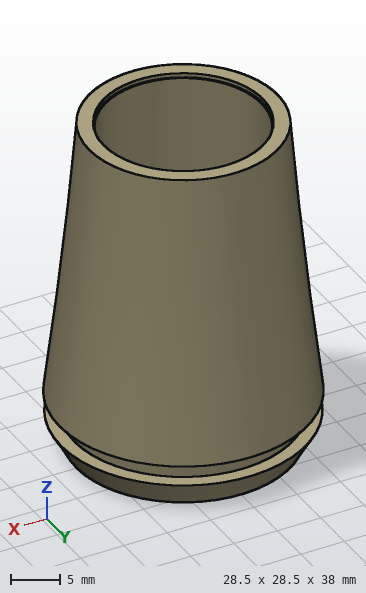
import cadquery as cq

height = 38.0
rim_height = 3.23
groove_width = 2.35
body_base = rim_height + groove_width

body_base_radius = 14.25
body_mid_radius = 12.35
body_top_radius = 10.85
groove_radius = 12.55
rim_radius = 14.15
rim_base_radius = 12.3

bore_radius = 9.0
mouth_radius = 9.15
mouth_depth = 0.5


def make_outer_body():
    """Revolve the tapered rim, the groove and the concave flared body."""
    body_mid = (body_base + height) / 2
    profile = (
        cq.Workplane("XZ")
        .moveTo(0, 0)
        .lineTo(rim_base_radius, 0)
        .lineTo(rim_radius, rim_height)
        .lineTo(groove_radius, rim_height)
        .lineTo(groove_radius, body_base)
        .lineTo(body_base_radius, body_base)
        .threePointArc((body_mid_radius, body_mid), (body_top_radius, height))
        .lineTo(0, height)
        .close()
    )
    return profile.revolve(360, (0, 0, 0), (0, 1, 0))


def make_bore():
    """Through bore, stepping out to the counterbore at the top face."""
    bore = cq.Workplane("XY").circle(bore_radius).extrude(height)
    mouth = cq.Workplane("XY").workplane(offset=height - mouth_depth).circle(mouth_radius).extrude(mouth_depth)
    return bore.union(mouth)


result = make_outer_body().cut(make_bore())